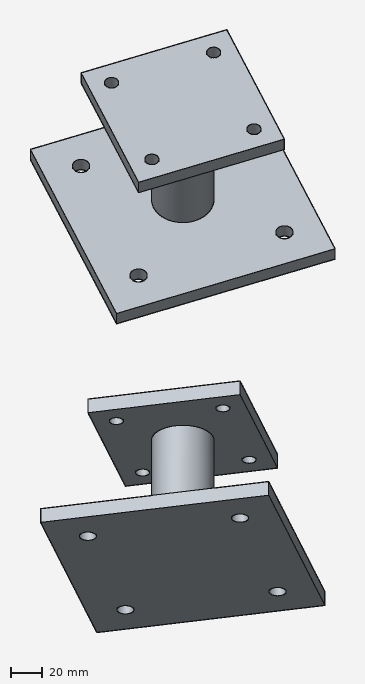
import cadquery as cq

base_side = 150
top_side = 100.0
total_height = 100.0
plate_thickness = 10.0
column_diameter = 40.0

base_hole_diameter = 11.0
base_hole_spacing = 100.0
top_hole_diameter = 9
top_hole_spacing = 70.0

column_height = total_height - 2 * plate_thickness
column_top = plate_thickness + column_height


def drilled_plate(side, hole_diameter, hole_spacing, bottom):
    """Square plate with four through holes, its underside at height bottom."""
    return (
        cq.Workplane("XY", origin=(0, 0, bottom))
        .rect(side, side)
        .extrude(plate_thickness)
        .faces(">Z")
        .workplane()
        .rect(hole_spacing, hole_spacing, forConstruction=True)
        .vertices()
        .hole(hole_diameter)
    )


base_plate = drilled_plate(base_side, base_hole_diameter, base_hole_spacing, 0)
top_plate = drilled_plate(top_side, top_hole_diameter, top_hole_spacing, column_top)

column = (
    cq.Workplane("XY", origin=(0, 0, plate_thickness))
    .circle(column_diameter / 2)
    .extrude(column_height)
)

result = base_plate.union(column).union(top_plate)